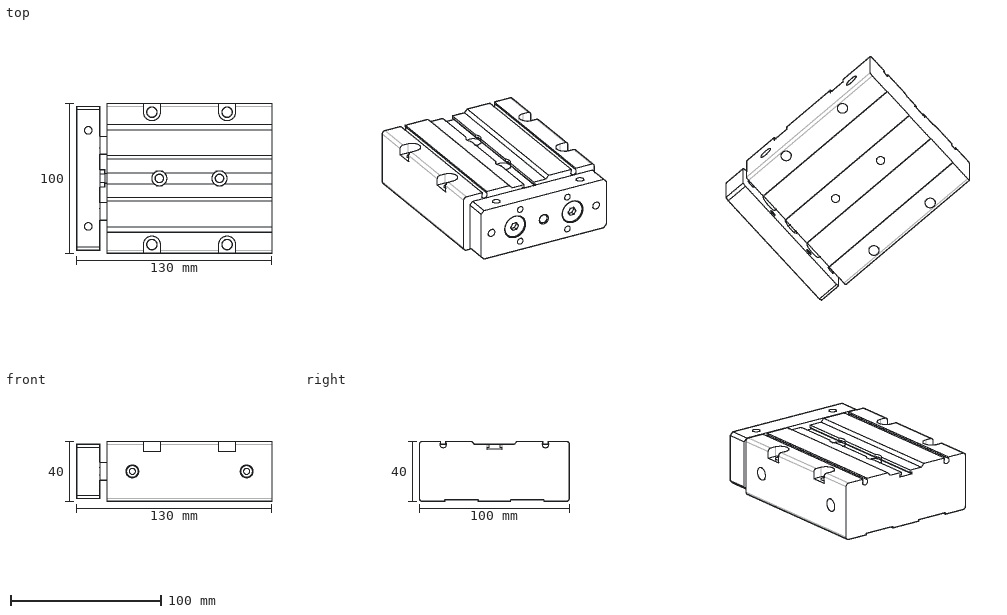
import cadquery as cq
import math


total_length = 130.0
width = 100.0
height = 40.0
plate_thickness = 15.3
gap = 4.7
housing_front = plate_thickness + gap
housing_length = total_length - housing_front
top = height / 2
bottom = -height / 2

edge_radius = 2.1
channel_half_width = 15.1
channel_depth = 2.2
tee_neck_width = 7.3
tee_neck_depth = 1.8
tee_foot_width = 10.0
tee_foot_height = 1.2
sensor_groove_y = 34.0
sensor_groove_mouth = 3.4
sensor_groove_neck_depth = 1.0
sensor_groove_diameter = 4.2
relief_inner_y = 10.8
relief_outer_y = 33.0
relief_depth = 1.0

corner_hole_x = housing_front + 30.0
corner_hole_pitch = 50.0
corner_hole_y = 44.1
corner_hole_diameter = 6.8
corner_pocket_width = 11.3
corner_pocket_depth = 6.8
center_hole_x = housing_front + 35.0
center_hole_pitch = 40.0
center_hole_diameter = 5.5
counterbore_diameter = 10.0
counterbore_depth = 10.0
port_x = housing_front + 17.0
port_pitch = 76.0
port_mouth_diameter = 8.6
port_floor_diameter = 7.7
port_depth = 8.0
port_bore_diameter = 4.0
port_bore_depth = 13.0

plate_width = 96.0
plate_height = 36.4
plate_chamfer = 2.2
face_hole_y = 18.1
face_hole_z = 12.0
face_hole_diameter = 4.2
side_hole_y = 40.0
side_hole_diameter = 5.1
top_hole_y = 32.0
top_hole_diameter = 5.1
top_hole_depth = 10.0

rod_y = 22.0
rod_diameter = 12.0
screw_ring_diameter = 16.0
screw_ring_depth = 0.5
screw_socket_flats = 5.1
screw_socket_depth = 3.0
piston_rod_diameter = 6.8
piston_recess_diameter = 7.0
piston_recess_depth = 0.6
nut_flats = 10.0
nut_thickness = 3.4


def x_cylinder(diameter, x_start, length, y, z=0.0):
    """Cylinder along +X."""
    return cq.Workplane("YZ", origin=(x_start, y, z)).circle(diameter / 2).extrude(length)


def z_cylinder(diameter, x, y, z_top, depth):
    """Cylinder that reaches down from z_top."""
    return cq.Workplane("XY", origin=(x, y, z_top)).circle(diameter / 2).extrude(-depth)


def x_hexagon(flats, x_start, length, y):
    """Hexagonal prism along +X with two corners pointing along Y."""
    corners = flats / math.cos(math.pi / 6)
    return cq.Workplane("YZ", origin=(x_start, y, 0)).polygon(6, corners).extrude(length)


def x_cone_recess(mouth_diameter, depth, y):
    """45 degree conical recess in the front of the plate."""
    solid = cq.Solid.makeCone(
        mouth_diameter / 2, mouth_diameter / 2 - depth, depth,
        pnt=cq.Vector(0, y, 0), dir=cq.Vector(1, 0, 0))
    return cq.Workplane(obj=solid)


def housing_bar(y_center, z_top, bar_width, bar_height):
    """Rectangular bar along the whole housing, used to cut grooves."""
    return (cq.Workplane("XY", origin=(housing_front, y_center, z_top))
            .box(housing_length, bar_width, bar_height, centered=(False, True, False))
            .translate((0, 0, -bar_height)))


def cut_channel(body):
    """Wide shallow channel with 45 degree sides and a T-slot along its middle."""
    floor_z = top - channel_depth
    floor_half_width = channel_half_width - channel_depth
    channel = (cq.Workplane("YZ", origin=(housing_front, 0, 0))
               .polyline([(-channel_half_width, top), (-floor_half_width, floor_z),
                          (floor_half_width, floor_z), (channel_half_width, top)])
               .close().extrude(housing_length))
    neck = housing_bar(0, floor_z, tee_neck_width, tee_neck_depth)
    foot = housing_bar(0, floor_z - tee_neck_depth, tee_foot_width, tee_foot_height)
    return body.cut(channel).cut(neck).cut(foot)


def cut_sensor_grooves(body):
    """Round grooves that open to the top through a narrower mouth."""
    radius = sensor_groove_diameter / 2
    drop = math.sqrt(radius ** 2 - (sensor_groove_mouth / 2) ** 2)
    center_depth = sensor_groove_neck_depth + drop
    for y in (-sensor_groove_y, sensor_groove_y):
        body = body.cut(housing_bar(y, top, sensor_groove_mouth, center_depth))
        body = body.cut(x_cylinder(sensor_groove_diameter, housing_front, housing_length,
                                   y, top - center_depth))
    return body


def cut_bottom_reliefs(body):
    """Two shallow reliefs that leave three flat feet along the bottom."""
    relief_y = (relief_inner_y + relief_outer_y) / 2
    relief_width = relief_outer_y - relief_inner_y
    for y in (-relief_y, relief_y):
        body = body.cut(housing_bar(y, bottom + relief_depth, relief_width, relief_depth))
    return body


def cut_corner_holes(body):
    """Through holes whose screw head pockets run out through the long sides."""
    pocket_run_out = width / 2 - corner_hole_y
    for x in (corner_hole_x, corner_hole_x + corner_hole_pitch):
        for side in (-1, 1):
            y = side * corner_hole_y
            body = body.cut(z_cylinder(corner_hole_diameter, x, y, top, height))
            body = body.cut(z_cylinder(corner_pocket_width, x, y, top, corner_pocket_depth))
            pocket = (cq.Workplane("XY")
                      .box(corner_pocket_width, pocket_run_out, corner_pocket_depth)
                      .translate((x, side * (corner_hole_y + pocket_run_out / 2),
                                  top - corner_pocket_depth / 2)))
            body = body.cut(pocket)
    return body


def cut_center_holes(body):
    """Counterbored through holes in the T-slot."""
    for x in (center_hole_x, center_hole_x + center_hole_pitch):
        body = body.cut(z_cylinder(center_hole_diameter, x, 0, top, height))
        body = body.cut(z_cylinder(counterbore_diameter, x, 0, top, counterbore_depth))
    return body


def cut_ports(body):
    """Tapered ports in the -Y side, each with a smaller bore behind it."""
    inward = cq.Vector(0, 1, 0)
    for x in (port_x, port_x + port_pitch):
        mouth = cq.Vector(x, -width / 2, 0)
        taper = cq.Solid.makeCone(port_mouth_diameter / 2, port_floor_diameter / 2,
                                  port_depth, pnt=mouth, dir=inward)
        bore = cq.Solid.makeCylinder(port_bore_diameter / 2, port_bore_depth,
                                     pnt=mouth, dir=inward)
        body = body.cut(cq.Workplane(obj=taper)).cut(cq.Workplane(obj=bore))
    return body


def make_housing():
    body = (cq.Workplane("XY", origin=(housing_front, 0, 0))
            .box(housing_length, width, height, centered=(False, True, True))
            .edges("|X").fillet(edge_radius))
    body = cut_channel(body)
    body = cut_sensor_grooves(body)
    body = cut_bottom_reliefs(body)
    body = cut_corner_holes(body)
    body = cut_center_holes(body)
    return cut_ports(body)


def make_plate():
    plate = (cq.Workplane("XY")
             .box(plate_thickness, plate_width, plate_height, centered=(False, True, True))
             .edges("|X").chamfer(plate_chamfer))
    for side in (-1, 1):
        plate = plate.cut(x_cylinder(side_hole_diameter, 0, plate_thickness, side * side_hole_y))
        plate = plate.cut(z_cylinder(top_hole_diameter, plate_thickness / 2, side * top_hole_y,
                                     plate_height / 2, top_hole_depth))
        for z in (-face_hole_z, face_hole_z):
            plate = plate.cut(x_cylinder(face_hole_diameter, 0, plate_thickness,
                                         side * face_hole_y, z))
    return plate


def make_slide():
    """Plate with both guide rods, the piston rod and its lock nut.

    The rods end flush against the front of the housing.
    """
    slide = make_plate()
    for y in (-rod_y, rod_y):
        slide = slide.union(x_cylinder(rod_diameter, plate_thickness, gap, y))
        slide = slide.cut(x_cone_recess(screw_ring_diameter, screw_ring_depth, y))
        slide = slide.cut(x_hexagon(screw_socket_flats, 0, screw_ring_depth + screw_socket_depth, y))
    slide = slide.union(x_cylinder(piston_rod_diameter, plate_thickness, gap, 0))
    slide = slide.union(x_hexagon(nut_flats, plate_thickness, nut_thickness, 0))
    return slide.cut(x_cone_recess(piston_recess_diameter, piston_recess_depth, 0))


housing = make_housing()
slide = make_slide()

result = cq.Compound.makeCompound([housing.val(), slide.val()])